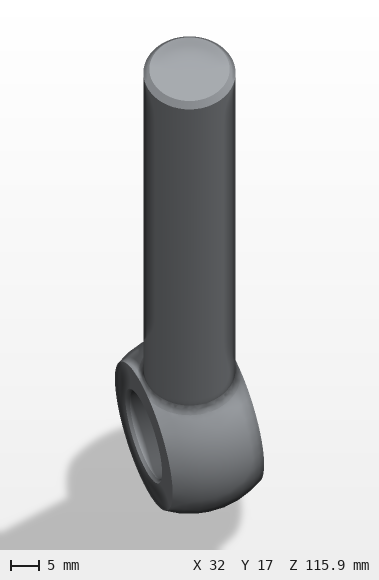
import cadquery as cq
import math

total_length = 115.9
ball_diameter = 32.0
eye_width = 17.0
shank_diameter = 16.0
bore_diameter = 16.0
neck_fillet = 2.0
tip_chamfer = 1.0
bore_chamfer = 0.6

ball_radius = ball_diameter / 2
shank_radius = shank_diameter / 2
tip_height = total_length - ball_radius


def flattened_ball():
    """Ball trimmed by two flat sides at right angles to Y."""
    slab_side = 2 * ball_diameter
    slab = cq.Workplane("XY").box(slab_side, eye_width, slab_side)
    ball = cq.Workplane("XZ").sphere(ball_radius)
    return ball.intersect(slab)


def shank():
    """Round shank rising along Z from the ball centre, with a chamfered tip."""
    return (
        cq.Workplane("XY")
        .circle(shank_radius)
        .extrude(tip_height)
        .faces(">Z")
        .chamfer(tip_chamfer)
    )


def blend_neck(body):
    """Fillet the circular edge where the shank leaves the ball."""
    neck_height = math.sqrt(ball_radius ** 2 - shank_radius ** 2)
    neck_edge = cq.selectors.NearestToPointSelector((0, 0, neck_height))
    return body.edges(neck_edge).fillet(neck_fillet)


def cut_bore(body):
    """Cut the through hole along Y and chamfer both of its mouths."""
    bore = cq.Workplane("XZ").circle(bore_diameter / 2).extrude(eye_width / 2, both=True)
    mouths = cq.selectors.RadiusNthSelector(0)
    return body.cut(bore).faces("<Y or >Y").edges(mouths).chamfer(bore_chamfer)


eye_bolt = flattened_ball().union(shank())
result = cut_bore(blend_neck(eye_bolt)).solids()